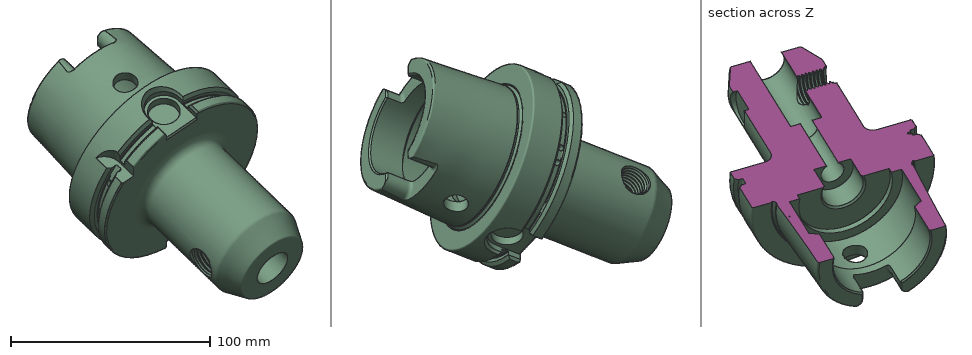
import cadquery as cq
import math

shank_length = 50.0
flange_width = 29.0
projection = 100.0

gauge_radius = 37.9
taper_ratio = 1 / 20
taper_start = -2.2
shank_edge_fillet = 1.0
relief_radius = 37.4
relief_start = -1.7
relief_end = -0.9
relief_cone_radius = 38.6
face_groove_radius = 39.2
face_groove_depth = 0.6

flange_radius = 50.0
flange_front_fillet = 0.9
flange_back_fillet = 0.8
groove_center = 20.0
groove_floor_radius = 46.0
groove_floor_width = 3.8
groove_mouth_width = 6.8
groove_wall_top_radius = 48.2
groove_floor_fillet = 0.4

body_radius = 26.0
body_fillet = 5.0
nose_angle = 25.0
nose_length = 12.9
nose_blend_radius = 2.5
nose_end_fillet = 0.9

mouth_radius = 27.2
mouth_chamfer = 0.8
cavity_neck_end = -30.5
cavity_radius = 31.0
cavity_shoulder_angle = 60.0
cavity_end = -3.0
floor_pocket_radius = 25.5
coolant_thread_radius = 11.3
coolant_thread_chamfer = 1.0
coolant_thread_depth = 14.0
coolant_hole_radius = 6.25
tool_bore_radius = 10.0
tool_bore_depth = 52.0

slot_half_width = 10.0
slot_flare_radius = 5.0
slot_flare_height = 27.1
slot_depth_top = 10.0
slot_depth_bottom = 15.0
slot_floor_fillet = 1.8
slot_entry_chamfer = 0.9

keyway_half_width = 10.0
keyway_center = 14.9
keyway_floor = 44.0
keyway_chamfer = 1.6
keyway_chamfer_height = 47.2
keyway_hole_radius = 8.15
keyway_hole_depth = 4.8

notch_offset = 31.5
notch_cutter_radius = 10.0
notch_center = 18.0

access_hole_x = -15.2
access_hole_radius = 6.25
balance_hole_angles = (30.0, 5.0, -20.0, -30.0)
balance_hole_radius = 1.6
balance_hole_depth = 10.0
drill_point_angle = 118.0
screw_x = 75.0
screw_minor_radius = 7.0
screw_major_radius = 8.0
screw_chamfer_radius = 8.5
screw_pitch = 2.0
screw_groove_width = 1.6
screw_hole_end = 8.1
counter_recess_radius = 9.1
counter_recess_floor = 23.0

overcut = 5.0


def taper_radius(x):
    return gauge_radius + taper_ratio * x


def cylinder_between(radius, start, direction, length):
    return cq.Workplane(cq.Solid.makeCylinder(radius, length, cq.Vector(*start), cq.Vector(*direction)))


def revolve_profile(profile):
    return profile.close().revolve(360, (0, 0, 0), (1, 0, 0))


def make_blank():
    shank_end = -shank_length
    shank_end_radius = taper_radius(shank_end)
    body_start = flange_width + body_fillet
    nose_start = projection - nose_length
    nose_tip_radius = body_radius - nose_length * math.tan(math.radians(nose_angle))
    arc_mid = body_fillet * (1 - math.sqrt(0.5))
    profile = (
        cq.Workplane("XY")
        .moveTo(shank_end, 0)
        .lineTo(shank_end, shank_end_radius)
        .lineTo(taper_start, taper_radius(taper_start))
        .lineTo(relief_start, relief_radius)
        .lineTo(relief_end, relief_radius)
        .lineTo(face_groove_depth, relief_cone_radius)
        .lineTo(face_groove_depth, face_groove_radius)
        .lineTo(0, face_groove_radius)
        .lineTo(0, flange_radius)
        .lineTo(flange_width, flange_radius)
        .lineTo(flange_width, body_radius + body_fillet)
        .threePointArc(
            (flange_width + arc_mid, body_radius + arc_mid),
            (body_start, body_radius),
        )
        .lineTo(nose_start, body_radius)
        .lineTo(projection, nose_tip_radius)
        .lineTo(projection, 0)
    )
    blank = revolve_profile(profile)
    blank = fillet_circle(blank, shank_end, shank_end_radius, shank_edge_fillet)
    blank = fillet_circle(blank, 0, flange_radius, flange_front_fillet)
    blank = fillet_circle(blank, flange_width, flange_radius, flange_back_fillet)
    blank = fillet_circle(blank, nose_start, body_radius, nose_blend_radius)
    return fillet_circle(blank, projection, nose_tip_radius, nose_end_fillet)


def fillet_circle(body, x, radius, fillet):
    margin = 0.1
    reach = radius + margin
    box = cq.selectors.BoxSelector((x - margin, -reach, -reach), (x + margin, reach, reach), True)
    edges = body.edges("%CIRCLE").edges(box)
    rims = edges.filter(lambda edge: abs(edge.radius() - radius) < margin)
    return rims.fillet(fillet)


def make_grip_groove():
    half_floor = groove_floor_width / 2
    half_mouth = groove_mouth_width / 2
    outside = flange_radius + overcut
    profile = (
        cq.Workplane("XY")
        .moveTo(groove_center - half_floor, groove_floor_radius)
        .lineTo(groove_center - half_floor, groove_wall_top_radius)
        .lineTo(groove_center - half_mouth, flange_radius)
        .lineTo(groove_center - half_mouth, outside)
        .lineTo(groove_center + half_mouth, outside)
        .lineTo(groove_center + half_mouth, flange_radius)
        .lineTo(groove_center + half_floor, groove_wall_top_radius)
        .lineTo(groove_center + half_floor, groove_floor_radius)
    )
    groove = revolve_profile(profile)
    for side in (-1, 1):
        groove = fillet_circle(
            groove, groove_center + side * half_floor, groove_floor_radius, groove_floor_fillet
        )
    return groove


def make_axial_bores():
    shank_end = -shank_length
    neck_radius = mouth_radius - mouth_chamfer
    shoulder_length = (cavity_radius - neck_radius) / math.tan(math.radians(cavity_shoulder_angle))
    tool_bore_end = projection - tool_bore_depth
    profile = (
        cq.Workplane("XY")
        .moveTo(shank_end, 0)
        .lineTo(shank_end, mouth_radius)
        .lineTo(shank_end + mouth_chamfer, neck_radius)
        .lineTo(cavity_neck_end, neck_radius)
        .lineTo(cavity_neck_end + shoulder_length, cavity_radius)
        .lineTo(cavity_end, cavity_radius)
        .lineTo(cavity_end, floor_pocket_radius)
        .lineTo(0, floor_pocket_radius)
        .lineTo(0, coolant_thread_radius + coolant_thread_chamfer)
        .lineTo(coolant_thread_chamfer, coolant_thread_radius)
        .lineTo(coolant_thread_depth, coolant_thread_radius)
        .lineTo(coolant_thread_depth, coolant_hole_radius)
        .lineTo(tool_bore_end, coolant_hole_radius)
        .lineTo(tool_bore_end, tool_bore_radius)
        .lineTo(projection, tool_bore_radius)
        .lineTo(projection, 0)
    )
    return revolve_profile(profile)


def make_drive_slot(depth):
    """Slot open toward +Z and -X, its side walls rolling outward over a convex radius."""
    flare_width = slot_half_width + slot_flare_radius
    flare_top = slot_flare_height + slot_flare_radius
    arc_mid = slot_flare_radius * (1 - math.sqrt(0.5))
    arc_mid_z = slot_flare_height + slot_flare_radius * math.sqrt(0.5)
    outer = gauge_radius + overcut
    slot = (
        cq.Workplane("YZ", origin=(-shank_length - overcut, 0, 0))
        .moveTo(-slot_half_width, 0)
        .lineTo(-slot_half_width, slot_flare_height)
        .threePointArc((-slot_half_width - arc_mid, arc_mid_z), (-flare_width, flare_top))
        .lineTo(-outer, flare_top)
        .lineTo(-outer, outer)
        .lineTo(outer, outer)
        .lineTo(outer, flare_top)
        .lineTo(flare_width, flare_top)
        .threePointArc((slot_half_width + arc_mid, arc_mid_z), (slot_half_width, slot_flare_height))
        .lineTo(slot_half_width, 0)
        .close()
        .extrude(depth + overcut)
    )
    floor_edges = slot.faces(">X").edges("not(<Z or >Z or <Y or >Y)")
    slot = floor_edges.fillet(slot_floor_fillet)
    entry_rise = math.sqrt(slot_flare_radius**2 - (slot_flare_radius - slot_entry_chamfer) ** 2)
    entry = (
        cq.Workplane("XY")
        .moveTo(-shank_length, -slot_half_width - slot_entry_chamfer)
        .lineTo(-shank_length + slot_entry_chamfer, -slot_half_width)
        .lineTo(-shank_length + slot_entry_chamfer, slot_half_width)
        .lineTo(-shank_length, slot_half_width + slot_entry_chamfer)
        .close()
        .extrude(slot_flare_height + entry_rise)
    )
    return slot.union(entry)


def keyway_outline(half_width, height):
    """Slot outline at the given Z, round at its -X end and open toward +X."""
    end = flange_width + overcut
    return (
        cq.Workplane("XY", origin=(0, 0, height))
        .moveTo(end, -half_width)
        .lineTo(keyway_center, -half_width)
        .threePointArc((keyway_center - half_width, 0), (keyway_center, half_width))
        .lineTo(end, half_width)
        .close()
    )


def make_keyway():
    top = flange_radius + overcut
    pocket = keyway_outline(keyway_half_width, keyway_floor).extrude(top - keyway_floor)
    flare_height = top - keyway_chamfer_height
    flare_angle = math.degrees(math.atan2(keyway_chamfer, flange_radius - keyway_chamfer_height))
    flare = keyway_outline(keyway_half_width, keyway_chamfer_height).extrude(flare_height, taper=-flare_angle)
    hole = cylinder_between(
        keyway_hole_radius, (keyway_center, 0, keyway_floor), (0, 0, -1), keyway_hole_depth
    )
    back_edge = (
        cq.Workplane("XZ", origin=(0, keyway_half_width, 0))
        .moveTo(flange_width, keyway_floor)
        .lineTo(flange_width - flange_back_fillet, keyway_floor)
        .lineTo(flange_width, keyway_floor - flange_back_fillet)
        .close()
        .extrude(2 * keyway_half_width)
    )
    return pocket.union(flare).union(hole).union(back_edge)


def make_orientation_notch():
    """Corner cut in the -Y, +Z quadrant with a cutter-round end."""
    outside = flange_radius + overcut
    length = flange_width + overcut - notch_center
    height = outside - notch_offset
    center_y = -notch_offset - notch_cutter_radius
    straight = cq.Workplane("XY").box(length, height, height, centered=False)
    straight = straight.translate((notch_center, -outside, notch_offset))
    end = cylinder_between(
        notch_cutter_radius, (notch_center, center_y, notch_offset), (0, 0, 1), height
    )
    return straight.union(end)


def make_access_hole():
    reach = gauge_radius + overcut
    return cylinder_between(access_hole_radius, (access_hole_x, 0, -reach), (0, 0, 1), 2 * reach)


def make_balance_hole(angle):
    """Blind hole with a drill point, radial from the grip groove floor."""
    tip_length = balance_hole_radius / math.tan(math.radians(drill_point_angle / 2))
    bottom = groove_floor_radius - balance_hole_depth
    hole = (
        cq.Workplane("XZ")
        .moveTo(0, bottom - tip_length)
        .lineTo(balance_hole_radius, bottom)
        .lineTo(balance_hole_radius, flange_radius)
        .lineTo(0, flange_radius)
        .close()
        .revolve(360, (0, 0, 0), (0, 1, 0))
        .translate((groove_center, 0, 0))
    )
    return hole.rotate((0, 0, 0), (1, 0, 0), 90 - angle)


def make_screw_hole():
    """Clamping screw hole from -Y with ring-shaped thread grooves."""
    chamfer = screw_chamfer_radius - screw_minor_radius
    mouth = math.sqrt(body_radius**2 - screw_chamfer_radius**2)
    profile = (
        cq.Workplane("XY")
        .moveTo(0, screw_hole_end)
        .lineTo(screw_minor_radius, screw_hole_end)
        .lineTo(screw_minor_radius, -mouth + chamfer)
        .lineTo(screw_chamfer_radius, -mouth)
        .lineTo(screw_chamfer_radius, -body_radius - overcut)
        .lineTo(0, -body_radius - overcut)
        .close()
    )
    hole = profile.revolve(360, (0, 0, 0), (0, 1, 0))
    half_groove = screw_groove_width / 2
    groove_count = math.ceil((mouth - tool_bore_radius) / screw_pitch)
    for index in range(groove_count):
        y = -mouth + screw_pitch * (index + 0.5)
        ring = (
            cq.Workplane("XY")
            .moveTo(0, y - half_groove)
            .lineTo(screw_minor_radius, y - half_groove)
            .lineTo(screw_major_radius, y)
            .lineTo(screw_minor_radius, y + half_groove)
            .lineTo(0, y + half_groove)
            .close()
            .revolve(360, (0, 0, 0), (0, 1, 0))
        )
        hole = hole.union(ring)
    return hole.translate((screw_x, 0, 0))


def make_counter_recess():
    """Flat-bottomed recess opposite the clamping screw."""
    depth = body_radius + overcut - counter_recess_floor
    return cylinder_between(counter_recess_radius, (screw_x, counter_recess_floor, 0), (0, 1, 0), depth)


def turned_half_way(cutter):
    return cutter.rotate((0, 0, 0), (1, 0, 0), 180)


result = make_blank()
result = result.cut(make_grip_groove())
result = result.cut(make_axial_bores())
result = result.cut(make_drive_slot(slot_depth_top))
result = result.cut(turned_half_way(make_drive_slot(slot_depth_bottom)))
result = result.cut(make_keyway())
result = result.cut(turned_half_way(make_keyway()))
result = result.cut(make_orientation_notch())
result = result.cut(make_access_hole())
for balance_angle in balance_hole_angles:
    result = result.cut(make_balance_hole(balance_angle))
result = result.cut(make_screw_hole())
result = result.cut(make_counter_recess())